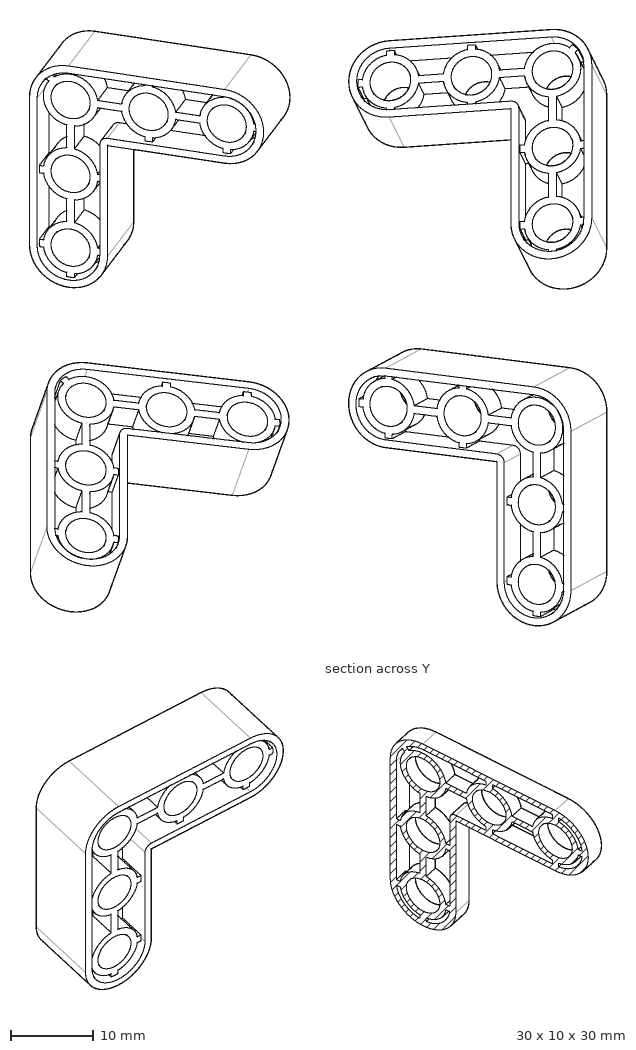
import cadquery as cq

overall = 30.0
holes_per_arm = 3
wall = 1.0
hole_diameter = 5.0
ring_diameter = 7.0
rib_width = 1.0
tube_recess = 0.8
floor_thickness = 1.0
inner_corner_radius = 1.0

pitch = overall / holes_per_arm
arm_width = pitch
depth = arm_width
arm_length = pitch * (holes_per_arm - 1)
cavity_width = arm_width - 2 * wall
spoke_reach = cavity_width / 2 + wall / 2
tube_depth = depth - 2 * tube_recess

horizontal_centers = [(i * pitch, 0) for i in range(holes_per_arm)]
vertical_centers = [(0, -i * pitch) for i in range(1, holes_per_arm)]
hole_centers = horizontal_centers + vertical_centers


def layer_plane(thickness):
    """XZ plane for extruding a layer of this thickness, centred on Y = 0, toward -Y."""
    return cq.Workplane("XZ", origin=(0, thickness / 2, 0))


def elbow(width, thickness):
    """Solid L of two round-ended arms."""
    horizontal = (
        layer_plane(thickness).center(arm_length / 2, 0)
        .slot2D(arm_length + width, width).extrude(thickness)
    )
    vertical = (
        layer_plane(thickness).center(0, -arm_length / 2)
        .slot2D(arm_length + width, width, 90).extrude(thickness)
    )
    return horizontal.union(vertical)


def bar(start, angle, length):
    """Radial rib of tube depth, running from a hole centre at an angle from +X."""
    return (
        layer_plane(tube_depth).center(*start)
        .transformed(rotate=(0, 0, angle))
        .center(length / 2, 0).rect(length, rib_width).extrude(tube_depth)
    )


def cavity():
    """L-shaped cavity with its concave-side corner rounded."""
    space = elbow(cavity_width, depth)
    corner = cq.selectors.NearestToPointSelector((cavity_width / 2, 0, -cavity_width / 2))
    return space.edges("|Y").edges(corner).fillet(inner_corner_radius)


def tubes_and_ribs():
    """Hole tubes, the ribs joining them and the spokes tying them to the wall."""
    web = layer_plane(tube_depth).pushPoints(hole_centers).circle(ring_diameter / 2).extrude(tube_depth)
    web = web.union(bar((0, 0), 0, arm_length)).union(bar((0, 0), -90, arm_length))
    web = web.union(bar((0, 0), 135, spoke_reach))
    for center in horizontal_centers[1:]:
        web = web.union(bar(center, 90, spoke_reach)).union(bar(center, -90, spoke_reach))
    for center in vertical_centers:
        web = web.union(bar(center, 0, spoke_reach)).union(bar(center, 180, spoke_reach))
    web = web.union(bar(horizontal_centers[-1], 0, spoke_reach))
    return web.union(bar(vertical_centers[-1], -90, spoke_reach))


shell = elbow(arm_width, depth).cut(cavity())
floor = elbow(arm_width, floor_thickness)
holes = layer_plane(depth).pushPoints(hole_centers).circle(hole_diameter / 2).extrude(depth)

result = shell.union(floor).union(tubes_and_ribs()).cut(holes)